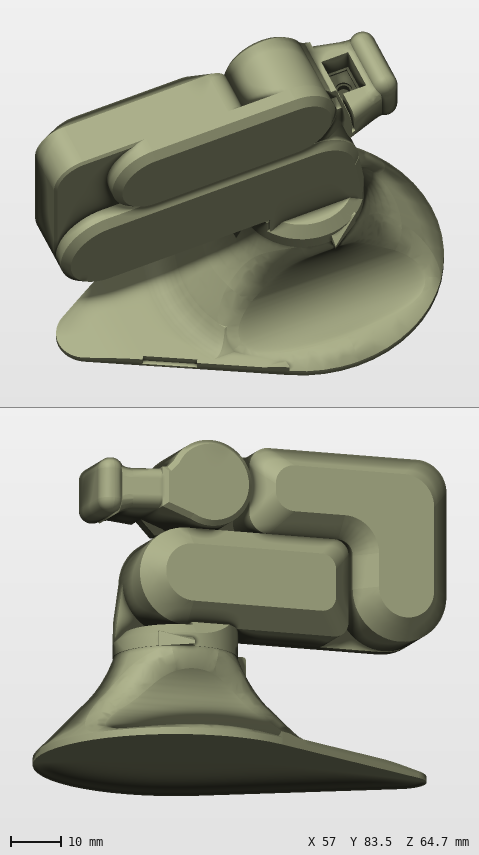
import cadquery as cq
import math


lower_axis_z = 37.2
lower_radius = 9.9
upper_radius = 8.8
upper_axis_z = lower_axis_z + lower_radius + upper_radius
head_y = -3.9
elbow_y = -45.1
arm_left = -10.8
bevel = 4.1
link_right = 7.4
link_chamfer = 1.5

base_radius = 28.5
tip_radius = 6.2
tip_y = -46.7
rim_height = 1.4
tail_height = 2.1
tip_height = 1.1
bend_start = -39.3
bend_end = -45.1
cone_top = (20.05, 10.2)
neck_mid = (15.3, 15.7)
base_top_radius = 12.4
base_top = 21.7
root_fillet = 8.8
root_overlap = 1.7
root_clearance = 0.5
scoop_radius = 9.8
scoop_x = 19.6
scoop_z = 11.95
scoop_edge_fillet = 5.85
notch_length = 10.9
notch_depth = 0.8
notch_floor = 0.6
notch_mid_y = -34.7

pin_diameter = 15.0
pin_bottom = 12.7
collar_radius = 12.5
collar_top = 26.5
collar_chamfer = 2.1
riser_right = 6.85
fin_outer_x = 14.5
fin_root_x = 10.4
fin_front_y = 1.1
fin_back_y = 7.3
fin_tip_height = 0.7
fin_root_height = 3.0
web_foot_y = 11.8
web_chamfer = 1.4
controller_end = -34.25
controller_fillet = 3.0
lower_link_left = 3.5

arm_end = -13.3
arm_right = 3.1
arm_end_fillet = 4.0
outer_corner_fillet = 6.3
inner_corner_radius = 3.1
rim_chamfer = 0.5
upper_link_end = -35.0

head_chamfer = 1.0
throat_y = 6.3
throat_left = -9.8
throat_right = 10.7
throat_bottom = 50.4
throat_top = 58.5
throat_fillet = 2.3
flare_start = 11.45
flare_end = 14.1
flare_rise = 1.0
flare_radius = 4.1
shoulder_y = 2.8
shoulder_z = 61.0
cheek_y = 5.2
jaw_y = -2.25
jaw_z = 47.3
grip_half_width = 7.9
grip_front = 13.1
grip_back = 18.4
grip_bottom = 49.3
grip_top = 60.5
grip_fillet = 2.6
pocket_width = 8.85
pocket_front = 6.35
pocket_back = 12.2
pocket_depth = 5.0
pocket_ledge = 0.5
floor_step = 0.4
slot_width = 0.8
hole_diameter = 2.5
hole_depth = 1.7
hole_rim_diameter = 3.3
lip_right = link_right - link_chamfer
lip_bottom = 47.3
lip_tip_y = 3.3
lip_clearance = 0.3

finger_width = 1.9
finger_back = -12.5
finger_front = -14.6
finger_top = 22.9
finger_fillet = 0.7
pivot_half_width = 8.85
pivot_front = -17.1
pivot_bottom = 6.3
pivot_top = 10.1


def block(x_range, y_range, z_range):
    """Box between the given limits."""
    size = [high - low for low, high in (x_range, y_range, z_range)]
    corner = (x_range[0], y_range[0], z_range[0])
    return cq.Workplane("XY").box(*size, centered=False).translate(corner)


def capsule(y_first, y_second, z, radius, x_left, x_right):
    """Round-ended plate lying in the YZ plane."""
    length = abs(y_first - y_second) + 2 * radius
    return (
        cq.Workplane("YZ", origin=(x_left, (y_first + y_second) / 2, z))
        .slot2D(length, radius * 2)
        .extrude(x_right - x_left)
    )


def bevelled_prism(draw_outline, x_right):
    """Prism along X with a 45 degree -X rim; draw_outline adds the outline for an inset."""
    bevel_plane = cq.Workplane("YZ", origin=(arm_left, 0, 0))
    slope = draw_outline(draw_outline(bevel_plane, bevel).workplane(offset=bevel), 0).loft(ruled=True)
    body_plane = cq.Workplane("YZ", origin=(arm_left + bevel, 0, 0))
    return draw_outline(body_plane, 0).extrude(x_right - arm_left - bevel).union(slope)


def tail_taper():
    """Sine and cosine of the angle between the tail's straight edges and the Y axis."""
    slope = (base_radius - tip_radius) / -tip_y
    return slope, math.sqrt(1 - slope**2)


def tail_outline():
    """Straight-sided tail: tangent lines from the base circle to the tip circle."""
    slope, side = tail_taper()
    wide_x = base_radius * side
    wide_y = -base_radius * slope
    narrow_x = tip_radius * side
    narrow_y = tip_y - tip_radius * slope
    return (
        cq.Workplane("XY")
        .moveTo(-wide_x, wide_y)
        .lineTo(-narrow_x, narrow_y)
        .threePointArc((0, tip_y - tip_radius), (narrow_x, narrow_y))
        .lineTo(wide_x, wide_y)
        .close()
    )


def tail_plate():
    """Tail, bent smoothly into a gentle slope toward its tip."""
    front = tip_y - tip_radius
    bend_length = bend_start - bend_end
    slope = (tail_height - tip_height) / (bend_end - front + bend_length / 2)
    end_drop = slope * bend_length / 2
    middle = ((bend_start + bend_end) / 2, tail_height - end_drop / 4)
    side_profile = (
        cq.Workplane("YZ", origin=(-base_radius, 0, 0))
        .lineTo(0, tail_height)
        .lineTo(bend_start, tail_height)
        .threePointArc(middle, (bend_end, tail_height - end_drop))
        .lineTo(front, tip_height)
        .lineTo(front, 0)
        .close()
        .extrude(2 * base_radius)
    )
    return tail_outline().extrude(tail_height).intersect(side_profile)


def root_ring():
    """Concave fillet between the cone and the tail, left open where the scoops pass."""
    fall = (cone_top[1] - rim_height) / (base_radius - cone_top[0])
    angle = math.atan(fall)
    root_r = base_radius - (tail_height - rim_height) / fall
    center_r = root_r + root_fillet * math.tan(angle / 2)
    center_z = tail_height + root_fillet
    on_cone, middle = [
        (center_r - root_fillet * math.sin(turn), center_z - root_fillet * math.cos(turn))
        for turn in (angle, angle / 2)
    ]
    inner_r = on_cone[0] - root_overlap
    ring = (
        cq.Workplane("XZ")
        .moveTo(*on_cone)
        .threePointArc(middle, (center_r, tail_height))
        .lineTo(center_r, 0)
        .lineTo(inner_r, 0)
        .lineTo(inner_r, on_cone[1])
        .close()
        .revolve(360, (0, 0), (0, 1))
        .intersect(tail_outline().extrude(base_top))
    )
    for side in (-1, 1):
        ring = ring.cut(scoop(side, scoop_radius + root_clearance))
    return ring


def scoop(side, radius):
    """Cylinder along Y that hollows one flank of the base."""
    return (
        cq.Workplane("XZ", origin=(side * scoop_x, base_radius, scoop_z))
        .circle(radius)
        .extrude(-2 * tip_y)
    )


def edge_notch():
    """Shallow notch in the +X edge of the tail, open at the top."""
    slope, side = tail_taper()
    mid_x = (base_radius + notch_mid_y * slope) / side
    return (
        cq.Workplane("XY", origin=(mid_x, notch_mid_y, notch_floor))
        .transformed(rotate=(0, 0, -math.degrees(math.asin(slope))))
        .rect(2 * notch_depth, notch_length)
        .extrude(tail_height)
    )


def make_base():
    """Round base with a tail, two scooped flanks and a hole for the swivel pin."""
    cone = (
        cq.Workplane("XZ")
        .lineTo(base_radius, 0)
        .lineTo(base_radius, rim_height)
        .lineTo(*cone_top)
        .threePointArc(neck_mid, (base_top_radius, base_top))
        .lineTo(0, base_top)
        .close()
        .revolve(360, (0, 0), (0, 1))
    )
    for side in (-1, 1):
        cone = cone.cut(scoop(side, scoop_radius))
        scoop_edges = cq.selectors.BoxSelector(
            (0, -base_radius, rim_height), (side * base_radius, base_radius, base_top), boundingbox=True
        )
        cone = cone.edges(scoop_edges).fillet(scoop_edge_fillet)
    pin_hole = cq.Workplane("XY", origin=(0, 0, pin_bottom)).circle(pin_diameter / 2).extrude(base_top)
    return cone.union(tail_plate().union(root_ring())).cut(edge_notch()).cut(pin_hole)


def make_latch():
    """Finger in front of the collar, standing on a cross bar held inside the base."""
    half = finger_width / 2
    finger = block((-half, half), (finger_front, finger_back), (pivot_bottom, finger_top))
    finger = finger.edges(">Z and <Y").fillet(finger_fillet)
    bar = block(
        (-pivot_half_width, pivot_half_width), (pivot_front, finger_back), (pivot_bottom, pivot_top)
    )
    return finger.union(bar)


def collar_fin(side):
    """Ramp-shaped fin beside the collar, triangular in plan."""
    plan = (
        cq.Workplane("XY", origin=(0, 0, base_top))
        .polyline([
            (0, fin_front_y), (side * fin_outer_x, fin_front_y),
            (side * fin_root_x, fin_back_y), (0, fin_back_y),
        ])
        .close()
        .extrude(fin_root_height)
    )
    ramp = (
        cq.Workplane("XZ", origin=(0, fin_back_y, base_top))
        .polyline([
            (0, 0), (side * fin_outer_x, 0), (side * fin_outer_x, fin_tip_height),
            (side * fin_root_x, fin_root_height), (0, fin_root_height),
        ])
        .close()
        .extrude(fin_back_y - fin_front_y)
    )
    return plan.intersect(ramp)


def collar():
    """Chamfered ring with two fins, on the pin that turns in the base."""
    ring = (
        cq.Workplane("XY", origin=(0, 0, base_top))
        .circle(collar_radius)
        .extrude(collar_top - base_top)
        .faces(">Z").chamfer(collar_chamfer)
    )
    pin = cq.Workplane("XY", origin=(0, 0, pin_bottom)).circle(pin_diameter / 2).extrude(base_top - pin_bottom)
    return ring.union(pin).union(collar_fin(-1)).union(collar_fin(1))


def front_riser():
    """Front part of the collar, carried up to the controller, with a 45 degree -X shoulder."""
    top = lower_axis_z - lower_radius
    shoulder = collar_top - collar_chamfer
    profile = (
        cq.Workplane("XZ")
        .polyline([
            (-collar_radius, base_top), (riser_right, base_top), (riser_right, top),
            (-collar_radius + top - shoulder, top), (-collar_radius, shoulder),
        ])
        .close()
        .extrude(collar_radius)
    )
    column = cq.Workplane("XY", origin=(0, 0, base_top)).circle(collar_radius).extrude(top)
    return profile.intersect(column)


def controller_outline(plane, inset):
    """Outline with one round end and one rounded square end."""
    radius = lower_radius - inset
    corner = controller_fillet
    low = lower_axis_z - radius
    high = lower_axis_z + radius
    end = controller_end + inset
    return (
        plane.moveTo(0, low)
        .threePointArc((radius, lower_axis_z), (0, high))
        .lineTo(end + corner, high)
        .radiusArc((end, high - corner), -corner)
        .lineTo(end, low + corner)
        .radiusArc((end + corner, low), -corner)
        .close()
    )


def neck_web():
    """Tapered web joining the lower link to the collar."""
    foot = collar_top - collar_chamfer
    web = (
        cq.Workplane("YZ", origin=(lower_link_left, 0, 0))
        .polyline([
            (lower_radius, lower_axis_z), (web_foot_y, foot),
            (-lower_radius, foot), (-lower_radius, lower_axis_z),
        ])
        .close()
        .extrude(link_right - lower_link_left)
        .faces(">X").edges(">Y").chamfer(web_chamfer)
    )
    column = cq.Workplane("XY").circle(collar_radius).extrude(lower_axis_z)
    return web.intersect(column)


def make_swivel_arm():
    """Collar, controller box and lower link in one piece."""
    link = capsule(0, elbow_y, lower_axis_z, lower_radius, lower_link_left, link_right)
    link = link.faces(">X").chamfer(link_chamfer)
    controller = bevelled_prism(controller_outline, lower_link_left)
    return collar().union(front_riser()).union(neck_web()).union(link).union(controller)


def elbow_outline(plane, inset):
    """L-shaped outline: a horizontal arm ending in a round lobe that hangs down."""
    bottom = upper_axis_z - upper_radius + inset
    top = upper_axis_z + upper_radius - inset
    lobe = lower_radius - inset
    inner_y = elbow_y + lobe
    outer_y = elbow_y - lobe
    end = arm_end - inset
    inner_corner = inner_corner_radius + inset
    return (
        plane.moveTo(end - arm_end_fillet, top)
        .lineTo(outer_y + outer_corner_fillet, top)
        .radiusArc((outer_y, top - outer_corner_fillet), -outer_corner_fillet)
        .lineTo(outer_y, lower_axis_z)
        .threePointArc((elbow_y, lower_axis_z - lobe), (inner_y, lower_axis_z))
        .lineTo(inner_y, bottom - inner_corner)
        .radiusArc((inner_y + inner_corner, bottom), inner_corner)
        .lineTo(end - arm_end_fillet, bottom)
        .radiusArc((end, bottom + arm_end_fillet), -arm_end_fillet)
        .lineTo(end, top - arm_end_fillet)
        .radiusArc((end - arm_end_fillet, top), -arm_end_fillet)
        .close()
    )


def make_elbow_arm():
    """L-shaped arm with the upper link on its +X side."""
    arm = bevelled_prism(elbow_outline, arm_right).faces(">X").chamfer(rim_chamfer)
    link = capsule(head_y, upper_link_end, upper_axis_z, upper_radius, arm_right, link_right)
    link = link.faces(">X").chamfer(link_chamfer)
    round_seat = capsule(
        arm_end - upper_radius, upper_link_end, upper_axis_z, upper_radius, arm_right - rim_chamfer, arm_right
    )
    straight_seat = (
        elbow_outline(cq.Workplane("YZ", origin=(arm_right - rim_chamfer, 0, 0)), 0)
        .extrude(rim_chamfer)
        .intersect(block((arm_left, arm_right), (upper_link_end, arm_end), (0, upper_axis_z + upper_radius)))
    )
    return arm.union(link).union(round_seat).union(straight_seat)


def throat():
    """Plate narrowing away from the drum, flared where it meets the grip."""
    plan = (
        cq.Workplane("XY", origin=(0, 0, grip_bottom))
        .polyline([
            (throat_left, throat_y), (throat_right, throat_y),
            (grip_half_width, flare_end), (-grip_half_width, flare_end),
        ])
        .close()
        .extrude(grip_top - grip_bottom)
    )
    side_profile = (
        cq.Workplane("YZ", origin=(throat_left, 0, 0))
        .moveTo(throat_y, throat_bottom)
        .lineTo(flare_start, throat_bottom)
        .radiusArc((flare_end, throat_bottom - flare_rise), flare_radius)
        .lineTo(flare_end, throat_top + flare_rise)
        .radiusArc((flare_start, throat_top), flare_radius)
        .lineTo(throat_y, throat_top)
        .close()
        .extrude(throat_right - throat_left)
    )
    plate = plan.intersect(side_profile)
    return plate.faces("<X or >X").edges("not(|Z)").fillet(throat_fillet)


def grip():
    """Rounded cross bar at the end of the head."""
    handle = block(
        (-grip_half_width, grip_half_width), (grip_front, grip_back), (grip_bottom, grip_top)
    )
    return handle.edges().fillet(grip_fillet)


def guard_lip():
    """Lip below the throat that wraps the upper link with a small clearance."""
    top = throat_top - throat_fillet
    lip = (
        cq.Workplane("YZ", origin=(arm_right, 0, 0))
        .polyline([
            (throat_y, throat_bottom), (throat_y, top), (head_y, top), (head_y, lip_bottom), (lip_tip_y, lip_bottom),
        ])
        .close()
        .extrude(lip_right - arm_right)
    )
    clearance = (
        cq.Workplane("YZ", origin=(arm_right, head_y, upper_axis_z))
        .circle(upper_radius + lip_clearance)
        .extrude(lip_right - arm_right)
    )
    return lip.cut(clearance)


def grip_pocket():
    """Stepped pocket with a blind hole in its floor and a slot leading out to +X."""
    floor = throat_top - pocket_depth
    half = pocket_width / 2
    inner = half - pocket_ledge
    middle_y = (pocket_front + pocket_back) / 2
    pocket = block((-half, half), (pocket_front, pocket_back), (floor, grip_top))
    step = block(
        (-inner, inner),
        (pocket_front + pocket_ledge, pocket_back - pocket_ledge),
        (floor - floor_step, floor),
    )
    slot = block((0, throat_right), (pocket_front, pocket_front + slot_width), (floor, grip_top))
    hole = (
        cq.Workplane("XY", origin=(0, middle_y, floor - floor_step))
        .circle(hole_diameter / 2).extrude(-hole_depth)
    )
    rim = (
        cq.Workplane("XY", origin=(0, middle_y, floor - floor_step))
        .circle(hole_rim_diameter / 2).extrude(-floor_step)
    )
    return pocket.union(step).union(slot).union(hole).union(rim)


def make_head():
    """Drum on the upper link with its grip."""
    drum = (
        cq.Workplane("YZ", origin=(arm_left, head_y, upper_axis_z))
        .circle(upper_radius)
        .extrude(arm_right - arm_left)
    )
    cheek = (
        cq.Workplane("YZ", origin=(arm_left, 0, 0))
        .polyline([
            (throat_y, throat_bottom), (throat_y, throat_top),
            (cheek_y, throat_top), (shoulder_y, shoulder_z), (head_y, upper_axis_z), (jaw_y, jaw_z),
        ])
        .close()
        .extrude(arm_right - arm_left)
    )
    body = drum.union(cheek).faces("<X").chamfer(head_chamfer)
    return body.union(throat()).union(grip()).union(guard_lip()).cut(grip_pocket())


latch = make_latch()
swivel_arm = make_swivel_arm()
base = make_base().cut(latch)
elbow_arm = make_elbow_arm()
head = make_head()

bodies = [base, latch, swivel_arm, elbow_arm, head]
result = cq.Compound.makeCompound([body.solids().val() for body in bodies])